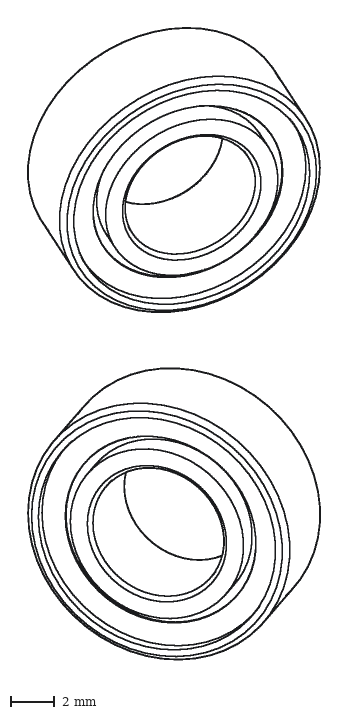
import cadquery as cq

width = 4.762
bore_radius = 6.35 / 2
outer_radius = 12.7 / 2

outer_chamfer = 0.27
bore_chamfer = 0.2

rim_inner_radius = 5.75
shield_inner_radius = 4.62
inner_ring_radius = 4.2

shield_recess = 0.5
shield_thickness = 0.1
cavity_floor = width / 4

half_width = width / 2


def ring_blank():
    """Plain ring with chamfered outer and bore edges."""
    return (
        cq.Workplane("XY")
        .moveTo(-half_width, bore_radius + bore_chamfer)
        .lineTo(-half_width, outer_radius - outer_chamfer)
        .lineTo(-half_width + outer_chamfer, outer_radius)
        .lineTo(half_width - outer_chamfer, outer_radius)
        .lineTo(half_width, outer_radius - outer_chamfer)
        .lineTo(half_width, bore_radius + bore_chamfer)
        .lineTo(half_width - bore_chamfer, bore_radius)
        .lineTo(-half_width + bore_chamfer, bore_radius)
        .close()
        .revolve(360, (0, 0, 0), (1, 0, 0))
    )


def space_around_inner_ring(space_radius, start_depth, end_depth):
    """Annular cutter around the inner ring, between two depths below the -X end face."""
    return (
        cq.Workplane("YZ", origin=(-half_width + start_depth, 0, 0))
        .circle(space_radius)
        .circle(inner_ring_radius)
        .extrude(end_depth - start_depth)
    )


def end_cutter():
    """Recess, shield hole and the cavity behind the shield at the -X end."""
    shield_back = shield_recess + shield_thickness
    recess = space_around_inner_ring(rim_inner_radius, 0, shield_recess)
    shield_hole = space_around_inner_ring(shield_inner_radius, shield_recess, shield_back)
    cavity = space_around_inner_ring(rim_inner_radius, shield_back, cavity_floor)
    return recess.union(shield_hole).union(cavity)


near_end = end_cutter()
result = ring_blank().cut(near_end).cut(near_end.mirror("YZ"))